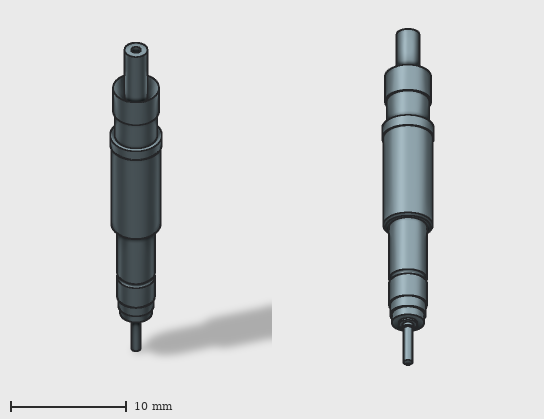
import cadquery as cq

total_height = 33.3

pin_diameter = 0.8
pin_collar_diameter = 0.95
nose_disc_diameter = 1.6
nose_diameter = 2.8
shoulder_diameter = 3.1
shaft_diameter = 3.3
barrel_diameter = 4.3
flange_diameter = 4.5
neck_diameter = 3.7
head_diameter = 4.0
tube_diameter = 2.0

pin_length = 3.6
pin_collar_length = 0.4
nose_disc_length = 0.2
nose_length = 0.8
shoulder_length = 1.0
shaft_length = 7.85
barrel_length = 9.0
flange_length = 1.0
neck_length = 2.7
head_length = 2.53

shaft_bottom = pin_length + pin_collar_length + nose_disc_length + nose_length + shoulder_length
rim = shaft_bottom + shaft_length + barrel_length + flange_length + neck_length + head_length

pin_chamfer_height = 0.2
pin_chamfer_width = 0.23
pin_collar_chamfer = 0.1
barrel_chamfer = 0.2

groove_height = 2.2
groove_width = 0.43
groove_depth = 0.15

funnel_depth = (head_diameter - tube_diameter) / 2

bore_diameter = 0.83
bore_depth = 4.0


def cylinder(diameter, bottom, length):
    return cq.Workplane("XY").workplane(offset=bottom).circle(diameter / 2).extrude(length)


def revolve_about_z(section):
    """Revolve a closed outline in the XZ plane about the Z axis."""
    return section.revolve(360, (0, 0, 0), (0, 1, 0))


def make_body():
    """Stack the turned sections from the pin up to the tube."""
    sections = [
        (pin_diameter, pin_length, pin_chamfer_height, pin_chamfer_width),
        (pin_collar_diameter, pin_collar_length, pin_collar_chamfer, pin_collar_chamfer),
        (nose_disc_diameter, nose_disc_length, 0, 0),
        (nose_diameter, nose_length, 0, 0),
        (shoulder_diameter, shoulder_length, 0, 0),
        (shaft_diameter, shaft_length, 0, 0),
        (barrel_diameter, barrel_length, barrel_chamfer, barrel_chamfer),
        (flange_diameter, flange_length, 0, 0),
        (neck_diameter, neck_length, 0, 0),
        (head_diameter, head_length, 0, 0),
    ]
    body = None
    bottom = 0
    for diameter, length, chamfer_height, chamfer_width in sections:
        section = cylinder(diameter, bottom, length)
        if chamfer_height:
            section = section.faces("<Z").edges().chamfer(chamfer_height, chamfer_width)
        body = section if body is None else body.union(section)
        bottom += length
    return body.union(cylinder(tube_diameter, rim, total_height - rim))


def make_groove():
    """Ring with a round-bottomed section, cut into the shaft."""
    low = shaft_bottom + groove_height
    high = low + groove_width
    shaft_radius = shaft_diameter / 2
    section = (
        cq.Workplane("XZ")
        .moveTo(shaft_radius, low)
        .threePointArc((shaft_radius - groove_depth, (low + high) / 2), (shaft_radius, high))
        .close()
    )
    return revolve_about_z(section)


def make_funnel():
    """Ring of triangular section between the head rim and the tube wall."""
    tube_radius = tube_diameter / 2
    section = cq.Workplane("XZ").polyline([
        (tube_radius, rim),
        (head_diameter / 2, rim),
        (tube_radius, rim - funnel_depth),
    ]).close()
    return revolve_about_z(section)


def make_bore():
    bore_radius = bore_diameter / 2
    cone_top = total_height - bore_depth
    section = cq.Workplane("XZ").polyline([
        (0, total_height),
        (bore_radius, total_height),
        (bore_radius, cone_top),
        (0, cone_top - bore_radius),
    ]).close()
    return revolve_about_z(section)


result = make_body().cut(make_groove()).cut(make_funnel()).cut(make_bore())